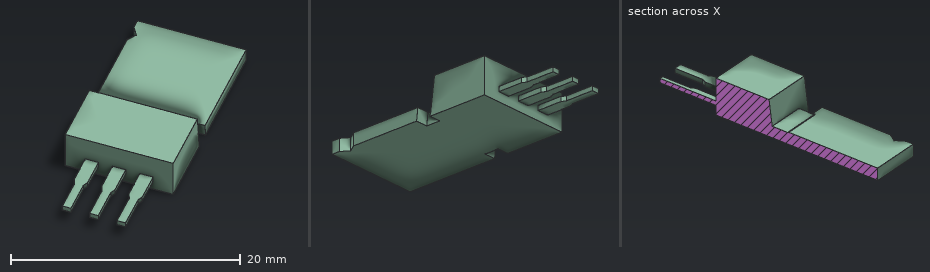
import cadquery as cq

total_length = 24.05

body_width = 10.1
body_height = 3.82
body_front_y = -17.87
body_back_bottom_y = -11.47
body_back_top_y = -11.98

tab_thickness = 1.3
tab_left_overhang = 0.07
tab_end_top_y = -10.1
tab_end_bottom_y = -9.95

notch_center_y = -1.7
notch_width = 1.68
notch_depth = 0.55

neck_width = 7.6
neck_height = 1.23
neck_start_y = -9.85

pin_count = 3
pin_pitch = 2.55
pin_width = 1.25
pin_tip_width = 0.82
pin_thickness = 0.5
pin_bottom_z = 0.99
taper_start_y = -20.55
taper_end_y = -21.0


def extrude_side_profile(points, left_x, width):
    """Extrude a closed (Y, Z) outline along +X, starting at left_x."""
    return cq.Workplane("YZ", origin=(left_x, 0, 0)).polyline(points).close().extrude(width)


def make_body():
    outline = [
        (body_front_y, 0),
        (body_back_bottom_y, 0),
        (body_back_top_y, body_height),
        (body_front_y, body_height),
    ]
    return extrude_side_profile(outline, -body_width / 2, body_width)


def make_tab():
    """Flat tab with an undercut front end and a V notch through its left edge."""
    left_x = -body_width / 2 - tab_left_overhang
    outline = [
        (0, 0),
        (0, tab_thickness),
        (tab_end_top_y, tab_thickness),
        (tab_end_bottom_y, 0),
    ]
    tab = extrude_side_profile(outline, left_x, body_width + tab_left_overhang)
    notch = (
        cq.Workplane("XY")
        .polyline([
            (left_x, notch_center_y + notch_width / 2),
            (left_x + notch_depth, notch_center_y),
            (left_x, notch_center_y - notch_width / 2),
        ])
        .close()
        .extrude(tab_thickness)
    )
    return tab.cut(notch)


def make_neck_block(bottom_z, top_z, end_y):
    """Block of neck width running from the tab step forward to end_y."""
    return cq.Workplane("XY").box(
        neck_width, neck_start_y - end_y, top_z - bottom_z, centered=(True, False, False)
    ).translate((0, end_y, bottom_z))


def make_pin(center_x):
    """Flat pin that tapers symmetrically to a narrower tip."""
    half_width = pin_width / 2
    half_tip = pin_tip_width / 2
    return (
        cq.Workplane("XY", origin=(center_x, 0, pin_bottom_z))
        .polyline([
            (-half_width, body_front_y),
            (-half_width, taper_start_y),
            (-half_tip, taper_end_y),
            (-half_tip, -total_length),
            (half_tip, -total_length),
            (half_tip, taper_end_y),
            (half_width, taper_start_y),
            (half_width, body_front_y),
        ])
        .close()
        .extrude(pin_thickness)
    )


tab_recess = make_neck_block(neck_height, tab_thickness, tab_end_top_y)
neck = make_neck_block(0, neck_height, body_back_top_y)
result = make_tab().cut(tab_recess).union(neck).union(make_body())

for index in range(pin_count):
    result = result.union(make_pin((index - (pin_count - 1) / 2) * pin_pitch))